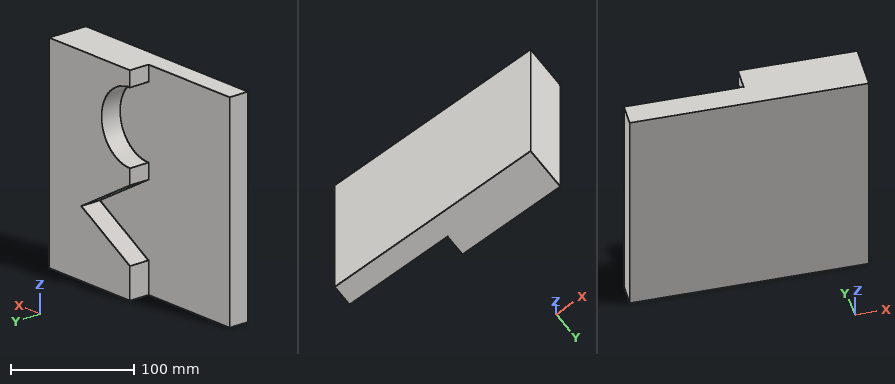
import cadquery as cq

side = 200.0
layer_thickness = 20.0
notch_width = 70.0
notch_radius = notch_width / 2
vee_depth = 60.0
round_notch_z = 150.0
vee_notch_z = 65.2
step_x = side / 2


def raised_prism(profile):
    """Extrude an XZ profile through the raised layer, towards +Y."""
    return profile.extrude(-layer_thickness)


def raised_plane():
    """XZ plane on the back face of the base plate."""
    return cq.Workplane("XZ", origin=(0, layer_thickness, 0))


base = cq.Workplane("XY").box(side, layer_thickness, side, centered=False)

raised = raised_prism(
    raised_plane().moveTo(step_x, 0).rect(side - step_x, side, centered=False)
)

round_notch = raised_prism(
    raised_plane().center(step_x, round_notch_z).circle(notch_radius)
)

vee_notch = raised_prism(
    raised_plane()
    .moveTo(step_x, vee_notch_z - notch_width / 2)
    .lineTo(step_x + vee_depth, vee_notch_z)
    .lineTo(step_x, vee_notch_z + notch_width / 2)
    .close()
)

result = base.union(raised.cut(round_notch).cut(vee_notch))